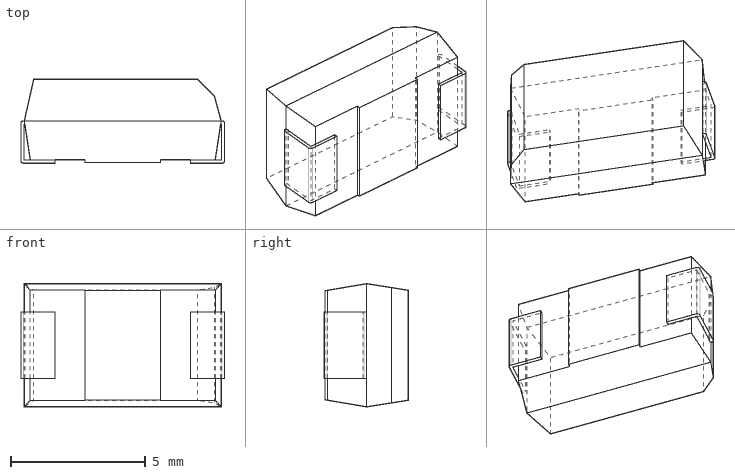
import cadquery as cq


overall_length = 7.6
overall_height = 3.13
case_width = 4.6
case_length = 7.34
parting_height = 1.58

terminal_thickness = 0.13
terminal_width = 2.49
terminal_foot_length = 1.285
terminal_bend_radius = 0.1

floor_length = 6.9
floor_width = 4.105
pad_length = 2.82
pad_clearance = 0.02

roof_length = 6.64
roof_width = 4.105
bevel_start = 2.79
bevel_leg = 0.63

half_case_length = case_length / 2
half_case_width = case_width / 2
half_floor_length = floor_length / 2
half_pad_length = pad_length / 2
half_roof_length = roof_length / 2
floor_height = terminal_thickness
lower_depth = parting_height - floor_height
lower_end_slope = (half_case_length - half_floor_length) / lower_depth
lower_side_slope = (case_width - floor_width) / 2 / lower_depth


def extrude_across_width(profile_points, width):
    """Extrude an XY outline symmetrically along Z."""
    return cq.Workplane("XY").polyline(profile_points).close().extrude(width / 2, both=True)


def side_taper(end_height, end_half_width):
    """Block along X whose Z width changes from the parting plane to end_height."""
    return (
        cq.Workplane("YZ")
        .polyline([
            (parting_height, -half_case_width),
            (parting_height, half_case_width),
            (end_height, end_half_width),
            (end_height, -end_half_width),
        ])
        .close()
        .extrude(half_case_length, both=True)
    )


def make_lower_case():
    """Lower half with sloping walls; the pad stays flush with the sloping sides."""
    outline = extrude_across_width(
        [
            (-half_case_length, parting_height),
            (-half_floor_length, floor_height),
            (-half_pad_length, floor_height),
            (-half_pad_length, pad_clearance),
            (half_pad_length, pad_clearance),
            (half_pad_length, floor_height),
            (half_floor_length, floor_height),
            (half_case_length, parting_height),
        ],
        case_width,
    )
    pad_half_width = half_case_width - lower_side_slope * (parting_height - pad_clearance)
    return outline.intersect(side_taper(pad_clearance, pad_half_width)).solids()


def make_upper_case():
    """Upper half with sloping walls and a polarity bevel along its +X roof edge."""
    outline = extrude_across_width(
        [
            (-half_case_length, parting_height),
            (half_case_length, parting_height),
            (bevel_start + bevel_leg, overall_height - bevel_leg),
            (bevel_start, overall_height),
            (-half_roof_length, overall_height),
        ],
        case_width,
    )
    return outline.intersect(side_taper(overall_height, roof_width / 2)).solids()


def make_terminal(side):
    """C-shaped strip at one end (side is -1 or +1), its top edge seated on the sloping case wall."""
    outer = overall_length / 2
    inner = outer - terminal_thickness
    foot_end = outer - terminal_foot_length
    tab_underside = parting_height - terminal_thickness
    tab_underside_end = half_case_length - lower_end_slope * terminal_thickness
    profile = [
        (foot_end, 0),
        (outer, 0),
        (outer, parting_height),
        (half_case_length, parting_height),
        (tab_underside_end, tab_underside),
        (inner, tab_underside),
        (inner, terminal_thickness),
        (foot_end, terminal_thickness),
    ]
    strip = extrude_across_width([(side * x, y) for x, y in profile], terminal_width)
    outer_face = ">X" if side > 0 else "<X"
    return strip.faces(outer_face).edges("|Z").fillet(terminal_bend_radius).solids()


lower_case = make_lower_case()
upper_case = make_upper_case()
terminals = [make_terminal(side) for side in (-1, 1)]

result = cq.Compound.makeCompound([
    lower_case.val(),
    upper_case.val(),
    *[terminal.val() for terminal in terminals],
])